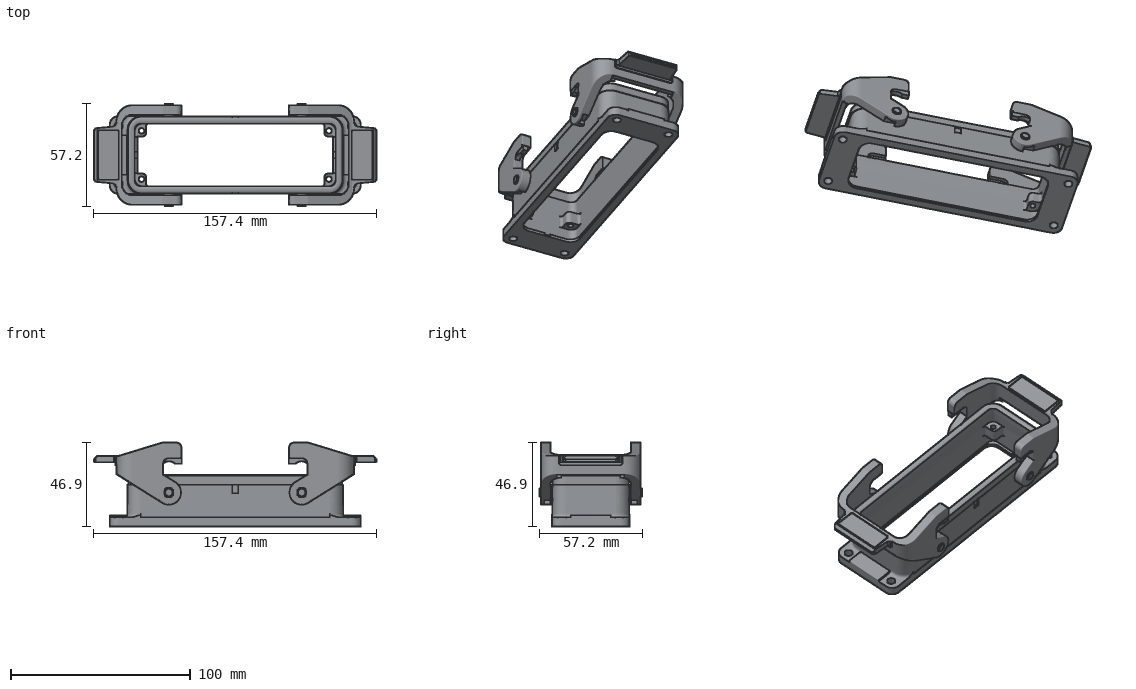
import cadquery as cq
import math

base_length = 140.0
base_width = 43.4
base_corner_radius = 5.0
foot_height = 1.5
end_height = 6.2
pad_height = 5.2
pad_inner_x = 59.6
pad_inner_y = 11.1
pad_edge_fillet = 0.9
end_edge_fillet = 0.4
draft_angle = 0.7
mount_hole_diameter = 4.5
mount_spacing_x = 130.0
mount_spacing_y = 32.0

wall_length = 120.6
wall_width = base_width - 0.2
wall_corner_radius = 7.6
wall_height = 23.4
wall_root_fillet = 1.9
collar_length = 119.4
collar_width = 42.6
collar_corner_radius = 7.3
collar_height = 28.9
rim_edge_height = 28.3
mark_width = 3.6
mark_bottom = 18.5
mark_depth = 1.0

opening_length = 111.8
opening_width = 34.6
opening_corner_radius = 3.6
opening_bottom = 24.2
cavity_growth = 0.35
lip_height = 1.8
lip_length = 108.8
lip_corner_radius = 6.0
lip_notch_width = 3.4
lip_notch_floor = 0.9

lug_top = 17.3
lug_bottom = 10.0
lug_inner_x = 49.6
lug_inner_y = 10.2
lug_corner_radius = 2.5
lug_root_fillet = 1.5
lug_embedding = 0.4
lug_hole_diameter = 3.0
lug_hole_x = 52.2
lug_hole_y = 13.45

pivot_x = 37.0
pivot_z = 19.0
shoulder_diameter = 6.0
stud_diameter = 4.8
stud_span = 57.2
stud_chamfer = 0.3

lever_back_x = 66.2
lever_back_thickness = 3.1
lever_outer_y = 27.8
lever_inner_y = 22.4
lever_outer_radius = 9.0
lever_inner_radius = 6.0
lever_edge_fillet = 0.4
stud_hole_diameter = 5.1
tongue_radius = 6.8
tongue_angle = math.radians(32)
lever_back_top = 39.4
lever_back_bottom = 29.0
relief_outer_y = 25.8
relief_top = 14.7
slope_start_x = 65.0
slope_end_x = 40.5
lever_top = 46.9
hook_tip_x = 29.9
hook_tip_radius = 3.0
hook_under = 38.1
throat_x = 40.2
throat_radius = 3.2

latch_outer_y = 27.1
latch_inner_y = 24.3
latch_tip_x = 29.7
latch_flat_end_x = 33.6
latch_bottom = 35.0
latch_crest_x = 37.0
latch_crest = 36.3

grip_end_x = 78.7
grip_bottom = 35.8
grip_end_half_width = 14.9
grip_root_half_width = 15.9
grip_flare_x = 67.8
grip_flare_half_width = 17.8
grip_corner_chamfer = 1.0
grip_lower_chamfer = 0.4
grip_bevel_run = 1.7
grip_bevel_drop = 2.0
recess_outer_x = 76.4
recess_inner_x = 64.8
recess_half_width = 13.8
recess_corner_radius = 0.8
recess_depth = 0.4
web_outer_x = 66.8
web_bottom = 34.2
web_corner_chamfer = 1.0


def rounded_block(length, width, radius, bottom, top, taper=0.0):
    """Upright block centred on the Z axis, with rounded corners and optional wall draft."""
    outline = cq.Sketch().rect(length, width).vertices().fillet(radius)
    return cq.Workplane("XY", origin=(0, 0, bottom)).placeSketch(outline).extrude(top - bottom, taper=taper)


def box_between(x1, x2, y1, y2, z1, z2):
    """Axis-aligned box between two opposite corners."""
    size = (abs(x2 - x1), abs(y2 - y1), abs(z2 - z1))
    corner = (min(x1, x2), min(y1, y2), min(z1, z2))
    return cq.Workplane("XY", origin=corner).box(*size, centered=False)


def plate_layer(top):
    """Whole base plate up to one height, drafted above its foot."""
    foot = rounded_block(base_length, base_width, base_corner_radius, 0, foot_height)
    body = rounded_block(base_length, base_width, base_corner_radius, foot_height, top, draft_angle)
    return foot.union(body)


def base_plate():
    """Plate with low screw pads in its corners and raised middles at its ends."""
    half_length = base_length / 2
    half_width = base_width / 2
    pads = plate_layer(pad_height)
    sides = box_between(-pad_inner_x, pad_inner_x, -half_width, half_width, 0, end_height)
    ends = box_between(-half_length, half_length, -pad_inner_y, pad_inner_y, 0, end_height)
    square_sides = plate_layer(pad_height).intersect(sides)
    raised_ends = plate_layer(end_height).faces(">Z").edges().fillet(end_edge_fillet).intersect(ends)
    return pads.faces(">Z").edges().fillet(pad_edge_fillet).union(square_sides).union(raised_ends)


def main_wall():
    return rounded_block(wall_length, wall_width, wall_corner_radius, foot_height, wall_height, draft_angle)


def wall_root():
    """Concave blend from the screw pads up into both ends of the wall, trimmed to the plate outline."""
    straight_x = wall_length / 2 - wall_corner_radius
    half_width = base_width / 2
    floor = rounded_block(base_length, base_length, base_corner_radius, foot_height, pad_height)
    outline = rounded_block(
        base_length, base_width, base_corner_radius, foot_height, wall_height, draft_angle
    )
    blend = floor.union(main_wall())
    long_root = cq.selectors.NearestToPointSelector((0, wall_width / 2, pad_height))
    blend = blend.edges(long_root).fillet(wall_root_fillet)
    middle = box_between(-straight_x, straight_x, -half_width, half_width, 0, wall_height)
    return blend.intersect(outline).cut(middle)


def walls():
    wall = main_wall()
    collar = rounded_block(collar_length, collar_width, collar_corner_radius, foot_height, rim_edge_height)
    return wall.union(collar).union(rim_dome())


def rim_dome():
    """Shallow arched cap swept once around the top of the collar."""
    rim_thickness = (collar_width - opening_width) / 2
    path_length = (collar_length + opening_length) / 2
    path_width = (collar_width + opening_width) / 2
    path_radius = (collar_corner_radius + opening_corner_radius) / 2
    path_block = rounded_block(path_length, path_width, path_radius, foot_height, rim_edge_height)
    path = path_block.faces(">Z").wires()
    return (
        cq.Workplane("YZ", origin=(0, path_width / 2, rim_edge_height))
        .moveTo(-rim_thickness / 2, 0)
        .threePointArc((0, collar_height - rim_edge_height), (rim_thickness / 2, 0))
        .close()
        .sweep(path)
    )


def cavity():
    """Tool for the open inside, from the bottom lip up to the rim."""
    wide_length = opening_length + 2 * cavity_growth
    wide_width = opening_width + 2 * cavity_growth
    wide_radius = opening_corner_radius + cavity_growth
    growth_angle = math.degrees(math.atan(cavity_growth / (opening_bottom - lug_top)))
    lip_opening = rounded_block(lip_length, opening_width, lip_corner_radius, 0, lip_height)
    lower = rounded_block(wide_length, wide_width, wide_radius, lip_height, lug_top)
    middle = rounded_block(wide_length, wide_width, wide_radius, lug_top, opening_bottom, growth_angle)
    upper = rounded_block(
        opening_length, opening_width, opening_corner_radius, opening_bottom, collar_height
    )
    half_length = opening_length / 2
    half_notch = lip_notch_width / 2
    notch = box_between(-half_length, half_length, -half_notch, half_notch, lip_notch_floor, lip_height)
    return lip_opening.union(lower).union(middle).union(upper).union(notch)


def screw_lug(end, side):
    """Lug in one corner of the cavity, with its screw hole."""
    wall_x = opening_length / 2 + cavity_growth
    wall_y = opening_width / 2 + cavity_growth
    root_x = wall_x + lug_embedding
    root_y = wall_y + lug_embedding
    flank_x = lug_inner_x - lug_root_fillet
    flank_y = lug_inner_y - lug_root_fillet
    lug = (
        cq.Workplane("XY", origin=(0, 0, lug_bottom))
        .moveTo(end * root_x, side * root_y)
        .lineTo(end * flank_x, side * root_y)
        .lineTo(end * flank_x, side * wall_y)
        .radiusArc((end * lug_inner_x, side * (wall_y - lug_root_fillet)), end * side * lug_root_fillet)
        .lineTo(end * lug_inner_x, side * (lug_inner_y + lug_corner_radius))
        .radiusArc(
            (end * (lug_inner_x + lug_corner_radius), side * lug_inner_y), -end * side * lug_corner_radius
        )
        .lineTo(end * (wall_x - lug_root_fillet), side * lug_inner_y)
        .radiusArc((end * wall_x, side * flank_y), end * side * lug_root_fillet)
        .lineTo(end * root_x, side * flank_y)
        .close()
        .extrude(lug_top - lug_bottom)
    )
    hole = (
        cq.Workplane("XY", origin=(end * lug_hole_x, side * lug_hole_y, lug_bottom))
        .circle(lug_hole_diameter / 2)
        .extrude(lug_top - lug_bottom)
    )
    return lug.cut(hole)


def pivot_stud(end, side):
    """Shouldered stud that carries one lever arm."""
    root_y = (opening_width / 2 + base_width / 2) / 2
    normal = cq.Plane(origin=(end * pivot_x, side * root_y, pivot_z), xDir=(1, 0, 0), normal=(0, side, 0))
    shoulder = cq.Workplane(normal).circle(shoulder_diameter / 2).extrude(lever_inner_y - root_y)
    stud = cq.Workplane(normal).circle(stud_diameter / 2).extrude(stud_span / 2 - root_y)
    tip = ">Y" if side > 0 else "<Y"
    return shoulder.union(stud.faces(tip).chamfer(stud_chamfer))


def make_housing():
    body = base_plate().union(wall_root()).union(walls()).cut(cavity())
    body = body.cut(
        cq.Workplane("XY")
        .rect(mount_spacing_x, mount_spacing_y, forConstruction=True)
        .vertices()
        .circle(mount_hole_diameter / 2)
        .extrude(end_height)
    )
    for side in (-1, 1):
        outer_y = side * base_width / 2
        floor_y = side * (collar_width / 2 - mark_depth)
        half_mark = mark_width / 2
        body = body.cut(box_between(-half_mark, half_mark, floor_y, outer_y, mark_bottom, wall_height))
        for end in (-1, 1):
            body = body.union(screw_lug(end, side)).union(pivot_stud(end, side))
    return body


def lever_side_profile():
    """Side outline of the lever at the -X end, extruded across the whole width."""
    slope = math.tan(tongue_angle)
    normal_x = tongue_radius * math.sin(tongue_angle)
    normal_z = tongue_radius * math.cos(tongue_angle)
    upper_tangent = (-pivot_x + normal_x, pivot_z + normal_z)
    lower_tangent = (-pivot_x - normal_x, pivot_z - normal_z)
    tongue_tip = (-pivot_x + normal_z, pivot_z - normal_x)
    throat_bottom = upper_tangent[1] + (upper_tangent[0] + throat_x) * slope
    back_bottom = lower_tangent[1] + (lower_tangent[0] + lever_back_x) * slope
    return (
        cq.Workplane("XZ")
        .moveTo(-lever_back_x, back_bottom)
        .lineTo(-lever_back_x, lever_back_top)
        .lineTo(-slope_start_x, lever_back_top)
        .lineTo(-slope_end_x, lever_top)
        .lineTo(-hook_tip_x - hook_tip_radius, lever_top)
        .radiusArc((-hook_tip_x, lever_top - hook_tip_radius), hook_tip_radius)
        .lineTo(-hook_tip_x, hook_under)
        .lineTo(-throat_x + throat_radius, hook_under)
        .radiusArc((-throat_x, hook_under - throat_radius), -throat_radius)
        .lineTo(-throat_x, throat_bottom)
        .lineTo(*upper_tangent)
        .threePointArc(tongue_tip, lower_tangent)
        .close()
        .extrude(lever_outer_y, both=True)
    )


def lever_strap():
    """U-shaped strap seen in plan, open towards +X."""
    inner_back_x = lever_back_x - lever_back_thickness
    outer = box_between(-lever_back_x, 0, -lever_outer_y, lever_outer_y, 0, lever_top)
    inner = box_between(-inner_back_x, 0, -lever_inner_y, lever_inner_y, 0, lever_top)
    outer = outer.edges("|Z and <X").fillet(lever_outer_radius)
    inner = inner.edges("|Z and <X").fillet(lever_inner_radius)
    return outer.cut(inner)


def latch_lip(side):
    """Rounded lip hanging below the hook of one arm."""
    lip = (
        cq.Workplane("XZ", origin=(0, side * latch_inner_y, 0))
        .moveTo(-latch_tip_x, hook_under)
        .lineTo(-latch_tip_x, latch_bottom)
        .lineTo(-latch_flat_end_x, latch_bottom)
        .threePointArc((-latch_crest_x, latch_crest), (-throat_x, latch_bottom))
        .lineTo(-throat_x, hook_under)
        .close()
        .extrude(-side * (latch_outer_y - latch_inner_y))
    )
    return lip


def finger_grip():
    """Flat grip with a bevelled end, and the tool for the shallow recess in its top."""
    root_x = lever_back_x - lever_back_thickness
    flare_end = (-lever_back_x, grip_flare_half_width)
    plan = (
        cq.Workplane("XY", origin=(0, 0, grip_bottom))
        .moveTo(-grip_end_x, 0)
        .lineTo(-grip_end_x, grip_end_half_width)
        .lineTo(-grip_flare_x, grip_root_half_width)
        .lineTo(*flare_end)
        .lineTo(-root_x, flare_end[1] - lever_back_thickness)
        .lineTo(-root_x, 0)
        .close()
        .extrude(lever_back_top - grip_bottom)
    )
    grip = plan.union(plan.mirror("XZ"))
    grip = grip.edges("|Z and <X").chamfer(grip_corner_chamfer)
    grip = grip.faces("<X").edges("<Z").chamfer(grip_lower_chamfer)
    bevel = (
        cq.Workplane("XZ")
        .moveTo(-grip_end_x, lever_back_top)
        .lineTo(-grip_end_x + grip_bevel_run, lever_back_top)
        .lineTo(-grip_end_x, lever_back_top - grip_bevel_drop)
        .close()
        .extrude(lever_outer_y, both=True)
    )
    web = box_between(
        -web_outer_x, -slope_start_x, -grip_flare_half_width, grip_flare_half_width,
        web_bottom, lever_back_top
    )
    web = web.edges("|X and <Z").chamfer(web_corner_chamfer)
    recess = box_between(
        -recess_outer_x, -recess_inner_x, -recess_half_width, recess_half_width,
        lever_back_top - recess_depth, lever_back_top
    )
    return grip.union(web).cut(bevel), recess.edges("|Z").fillet(recess_corner_radius)


def make_lever():
    """Locking lever at the -X end of the housing."""
    lever = lever_strap().intersect(lever_side_profile())
    lever = lever.faces("<Y or >Y").edges().fillet(lever_edge_fillet)
    inner_back_x = lever_back_x - lever_back_thickness
    corner_y = lever_outer_y - lever_outer_radius
    lever = lever.cut(box_between(-lever_back_x, -inner_back_x, -corner_y, corner_y, 0, lever_back_bottom))
    grip, recess = finger_grip()
    lever = lever.union(grip).cut(recess)
    for side in (-1, 1):
        lever = lever.union(latch_lip(side))
        relief_near_y = side * lever_inner_y
        relief_far_y = side * relief_outer_y
        lever = lever.cut(box_between(-lever_back_x, -pivot_x, relief_near_y, relief_far_y, 0, relief_top))
    stud_holes = (
        cq.Workplane("XZ", origin=(-pivot_x, 0, pivot_z))
        .circle(stud_hole_diameter / 2)
        .extrude(lever_outer_y, both=True)
    )
    return lever.cut(stud_holes)


housing = make_housing()
first_lever = make_lever()
levers = [first_lever.rotate((0, 0, 0), (0, 0, 1), turn) for turn in (0, 180)]

result = cq.Compound.makeCompound([housing.val(), *[lever.val() for lever in levers]])